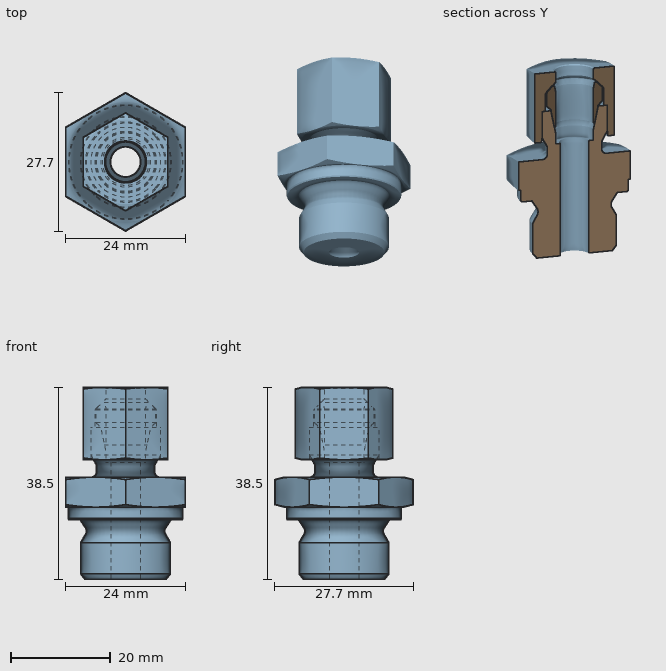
import cadquery as cq
import math


FLANGE_BOTTOM = 12.0
BODY_HEX_BOTTOM = 14.5
BODY_HEX_TOP = 20.5
TUBE_STOP = 23.5
NUT_BOTTOM = 24.0
BODY_TOP = 30.5
NUT_TOP = 38.5

BODY_ACROSS_FLATS = 24.0
NUT_ACROSS_FLATS = 17.0
HEX_CHAMFER_ANGLE = 15.0

STUD_RADIUS = 18.0 / 2
STUD_TIP_CHAMFER = 0.92
STUD_TIP_CHAMFER_HEIGHT = 1.1
FLANGE_RADIUS = 23.0 / 2
FLANGE_CHAMFER = 0.14
FLANGE_CHAMFER_HEIGHT = 0.25

UNDERCUT_RADIUS = 7.85
UNDERCUT_ROUND = 1.3
UNDERCUT_CENTRE_Z = 9.69
UNDERCUT_STUD_ANGLE = 30.0
UNDERCUT_FLANGE_ANGLE = 34.0

MALE_THREAD_RADIUS = 14.0 / 2
NECK_RADIUS = 11.7 / 2
NECK_ROUND = 1.0
NECK_CONE_START = 22.73
NECK_CONE_ANGLE = 30.0

THROUGH_RADIUS = 6.0 / 2
TUBE_RADIUS = 8.0 / 2
SEAT_MOUTH_RADIUS = 10.0 / 2
SEAT_HALF_ANGLE = 12.0

NUT_INNER_RADIUS = 12.38 / 2
NUT_CONE_TOP = NUT_TOP - 2.28
NUT_MOUTH_CHAMFER = 0.2

RING_COLLAR_RADIUS = 12.0 / 2
RING_TOP = NUT_TOP - 2.95
RING_NOSE_LENGTH = 3.5
RING_MOUTH_RADIUS = 4.25
RING_MOUTH_DEPTH = 1.1


def tan_deg(angle):
    return math.tan(math.radians(angle))


def round_offset(round_radius, angle):
    """(radial, axial) distance from the middle of a round to its tangent point with a cone."""
    turn = math.radians(angle)
    return round_radius * (1 - math.cos(turn)), round_radius * math.sin(turn)


def chamfered_hex(across_flats, bottom, top):
    """Hexagon with corners on Y whose corners are turned off at both ends."""
    flat_radius = across_flats / 2
    corner_radius = flat_radius / math.cos(math.radians(30))
    drop = (corner_radius - flat_radius) * tan_deg(HEX_CHAMFER_ANGLE)
    prism = (
        cq.Workplane("XY", origin=(0, 0, bottom))
        .polygon(6, 2 * corner_radius)
        .extrude(top - bottom)
        .rotate((0, 0, 0), (0, 0, 1), 30)
    )
    envelope = (
        cq.Workplane("XZ")
        .moveTo(0, bottom)
        .lineTo(flat_radius, bottom)
        .lineTo(corner_radius, bottom + drop)
        .lineTo(corner_radius, top - drop)
        .lineTo(flat_radius, top)
        .lineTo(0, top)
        .close()
        .revolve(360, (0, 0, 0), (0, 1, 0))
    )
    return prism.intersect(envelope)


def turned(points):
    """Solid of revolution about Z from (radius, z) points."""
    return cq.Workplane("XZ").polyline(points).close().revolve(360, (0, 0, 0), (0, 1, 0))


def stud_end():
    stud_rise, stud_reach = round_offset(UNDERCUT_ROUND, UNDERCUT_STUD_ANGLE)
    flange_rise, flange_reach = round_offset(UNDERCUT_ROUND, UNDERCUT_FLANGE_ANGLE)
    round_start = (UNDERCUT_RADIUS + stud_rise, UNDERCUT_CENTRE_Z - stud_reach)
    round_end = (UNDERCUT_RADIUS + flange_rise, UNDERCUT_CENTRE_Z + flange_reach)
    stud_top = round_start[1] - (STUD_RADIUS - round_start[0]) / tan_deg(UNDERCUT_STUD_ANGLE)
    cone_top_radius = round_end[0] + (FLANGE_BOTTOM - round_end[1]) * tan_deg(UNDERCUT_FLANGE_ANGLE)
    return (
        cq.Workplane("XZ")
        .moveTo(0, 0)
        .lineTo(STUD_RADIUS - STUD_TIP_CHAMFER, 0)
        .lineTo(STUD_RADIUS, STUD_TIP_CHAMFER_HEIGHT)
        .lineTo(STUD_RADIUS, stud_top)
        .lineTo(*round_start)
        .threePointArc((UNDERCUT_RADIUS, UNDERCUT_CENTRE_Z), round_end)
        .lineTo(cone_top_radius, FLANGE_BOTTOM)
        .lineTo(FLANGE_RADIUS - FLANGE_CHAMFER, FLANGE_BOTTOM)
        .lineTo(FLANGE_RADIUS, FLANGE_BOTTOM + FLANGE_CHAMFER_HEIGHT)
        .lineTo(FLANGE_RADIUS, BODY_HEX_BOTTOM)
        .lineTo(0, BODY_HEX_BOTTOM)
        .close()
        .revolve(360, (0, 0, 0), (0, 1, 0))
    )


def tube_end():
    """Relieved neck and male thread cylinder above the body hexagon."""
    cone_rise, cone_reach = round_offset(NECK_ROUND, NECK_CONE_ANGLE)
    half_rise, half_reach = round_offset(NECK_ROUND, NECK_CONE_ANGLE / 2)
    foot_rise, foot_reach = round_offset(NECK_ROUND, 45)
    cone_start = (NECK_RADIUS + cone_rise, NECK_CONE_START + cone_reach)
    thread_start = cone_start[1] + (MALE_THREAD_RADIUS - cone_start[0]) / tan_deg(NECK_CONE_ANGLE)
    neck_bottom = BODY_HEX_TOP + NECK_ROUND
    return (
        cq.Workplane("XZ")
        .moveTo(0, BODY_HEX_TOP)
        .lineTo(NECK_RADIUS + NECK_ROUND, BODY_HEX_TOP)
        .threePointArc((NECK_RADIUS + foot_rise, neck_bottom - foot_reach), (NECK_RADIUS, neck_bottom))
        .lineTo(NECK_RADIUS, NECK_CONE_START)
        .threePointArc((NECK_RADIUS + half_rise, NECK_CONE_START + half_reach), cone_start)
        .lineTo(MALE_THREAD_RADIUS, thread_start)
        .lineTo(MALE_THREAD_RADIUS, BODY_TOP)
        .lineTo(0, BODY_TOP)
        .close()
        .revolve(360, (0, 0, 0), (0, 1, 0))
    )


def body_bore():
    """Through bore, tube socket with its stop, and the conical ring seat."""
    seat_bottom = BODY_TOP - (SEAT_MOUTH_RADIUS - TUBE_RADIUS) / tan_deg(SEAT_HALF_ANGLE)
    return turned([
        (0, 0),
        (THROUGH_RADIUS, 0),
        (THROUGH_RADIUS, TUBE_STOP),
        (TUBE_RADIUS, TUBE_STOP),
        (TUBE_RADIUS, seat_bottom),
        (SEAT_MOUTH_RADIUS, BODY_TOP),
        (0, BODY_TOP),
    ])


def make_stud_body():
    hexagon = chamfered_hex(BODY_ACROSS_FLATS, BODY_HEX_BOTTOM, BODY_HEX_TOP)
    return hexagon.union(stud_end()).union(tube_end()).cut(body_bore())


def make_union_nut():
    """Hexagon nut: threaded bore, ring chamber with a 45 degree cone, tube hole."""
    cone_bottom = NUT_CONE_TOP - (NUT_INNER_RADIUS - TUBE_RADIUS)
    bore = turned([
        (0, NUT_BOTTOM),
        (MALE_THREAD_RADIUS, NUT_BOTTOM),
        (MALE_THREAD_RADIUS, BODY_TOP),
        (NUT_INNER_RADIUS, BODY_TOP),
        (NUT_INNER_RADIUS, cone_bottom),
        (TUBE_RADIUS, NUT_CONE_TOP),
        (TUBE_RADIUS, NUT_TOP - NUT_MOUTH_CHAMFER),
        (TUBE_RADIUS + NUT_MOUTH_CHAMFER, NUT_TOP),
        (0, NUT_TOP),
    ])
    return chamfered_hex(NUT_ACROSS_FLATS, NUT_BOTTOM, NUT_TOP).cut(bore)


def make_cutting_ring():
    """Ring whose nose lies in the body seat and whose 45 degree back lies on the nut cone."""
    nose_radius = SEAT_MOUTH_RADIUS - RING_NOSE_LENGTH * tan_deg(SEAT_HALF_ANGLE)
    back_radius = TUBE_RADIUS + (NUT_CONE_TOP - RING_TOP)
    nose_bottom = BODY_TOP - RING_NOSE_LENGTH
    return turned([
        (TUBE_RADIUS, nose_bottom),
        (nose_radius, nose_bottom),
        (SEAT_MOUTH_RADIUS, BODY_TOP),
        (RING_COLLAR_RADIUS, BODY_TOP + RING_COLLAR_RADIUS - SEAT_MOUTH_RADIUS),
        (RING_COLLAR_RADIUS, RING_TOP - (RING_COLLAR_RADIUS - back_radius)),
        (back_radius, RING_TOP),
        (RING_MOUTH_RADIUS, RING_TOP),
        (TUBE_RADIUS, RING_TOP - RING_MOUTH_DEPTH),
    ])


stud_body = make_stud_body()
union_nut = make_union_nut()
cutting_ring = make_cutting_ring()

result = cq.Compound.makeCompound([stud_body.val(), union_nut.val(), cutting_ring.val()])